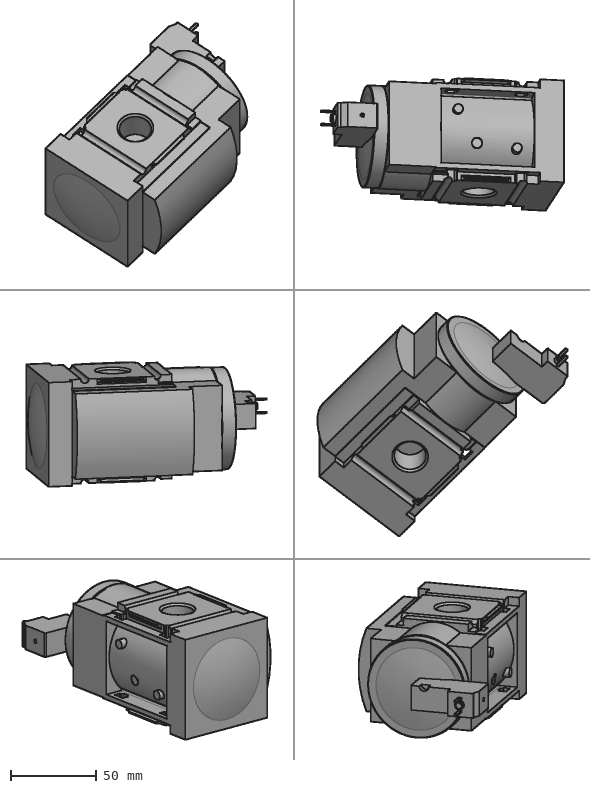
import cadquery as cq


BODY_HALF = 31.0
FRONT_Y = -45.1
FRONT_SLAB_BACK_Y = -31.1
PORT_BLOCK_BACK_Y = 31.0
MIDDLE_BACK_Y = 39.0
REAR_Y = 58.7
PORT_BLOCK_HALF_X = 24.3
LEDGE_Z = 25.8
REAR_HALF_Z = 25.3

HUMP_HALF_WIDTH = 15.0
HUMP_TOP_Z = 30.4

COVER_FLAT_X = 40.0
COVER_X = 45.0

DOME_RADIUS = 25.0
FRONT_DOME_HEIGHT = 4.0
REAR_DOME_HEIGHT = 2.8
CAP_DIAMETER = 60.0
CAP_BACK_Y = 67.5
CAP_CHAMFER = 0.5

PORT_DIAMETER = 18.6
PORT_MOUTH_DIAMETER = 21.1
PORT_DEPTH = 17.9

GROOVE_Y = 22.0
GROOVE_DIAMETER = 4.8
RELIEF_X = 20.0
RELIEF_FLOOR_Z = 26.7
SLOT_Y = 20.7
SLOT_HEAD_WIDTH = 7.0
SLOT_HEAD_OUTER_X = 27.5
SLOT_HEAD_INNER_X = 23.7
SLOT_NECK_WIDTH = 4.5
SLOT_NECK_INNER_X = 22.2
LUG_HALF_LENGTH = 14.7
LUG_REACH = 2.4
LUG_STEP = 0.5
LUG_TOP_Z = 30.7
LUG_LIP_Z = 30.0
LUG_STEP_Z = 28.7
LUG_BOTTOM_Z = 27.7

WINDOW_HALF_Y = 27.8
WINDOW_HALF_Z = 22.6
WINDOW_DEPTH = 10.7
INSERT_HALF_Z = 21.0
INSERT_GAP = 2.1
PIN_DIAMETER = 5.5
PIN_END_X = -30.1
PIN_POSITIONS = [(17.4, 11.0), (-17.5, -11.0)]
FLUSH_PIN_DIAMETER = 6.1
FLUSH_PIN_END_X = -27.4
FLUSH_PIN_Y = 6.0
FLUSH_PIN_Z = -8.6

PLUG_LEFT_X = -44.5
PLUG_RIGHT_X = -2.8
PLUG_STEP_X = -27.0
PLUG_BOTTOM_Y = 67.7
PLUG_STEP_Y = 86.2
PLUG_TOP_Y = 91.3
PLUG_THICKNESS = 14.9
PLUG_TOP_CUT_X = 2.0
PLUG_TOP_CUT_Y = 3.9
PLUG_TOP_CUT_END_Y = 89.5
PLUG_EDGE_CHAMFER = 0.7
TERMINAL_X = -34.5
STUD_DIAMETER = 5.0
STUD_HEIGHT = 1.8
STUD_TIP_DIAMETER = 3.9
STUD_TIP_HEIGHT = 0.9
BLADE_TIP_Y = 99.8
BLADE_WIDTH = 2.0
BLADE_THICKNESS = 0.7
BLADE_Z = 4.0
BLADE_TIP_CHAMFER = 0.5
PLUG_HOLE_DIAMETER = 2.1
PLUG_HOLE_Y = 77.0
PLUG_HOLE_DEPTH = 3.0
NOTCH_X = -10.7
NOTCH_DIAMETER = 5.5
NOTCH_DEPTH = 4.0


def block(x0, x1, y0, y1, z0, z1):
    """Box between two opposite corners."""
    return cq.Workplane("XY").box(x1 - x0, y1 - y0, z1 - z0, centered=False).translate((x0, y0, z0))


def y_cylinder(diameter, y0, y1, x=0, z=0):
    """Cylinder along +Y from y0 to y1."""
    return cq.Workplane(cq.Plane((x, y0, z), (1, 0, 0), (0, 1, 0))).circle(diameter / 2).extrude(y1 - y0)


def x_cylinder(diameter, x0, x1, y, z):
    """Cylinder along +X from x0 to x1."""
    return cq.Workplane(cq.Plane((x0, y, z), (0, 1, 0), (1, 0, 0))).circle(diameter / 2).extrude(x1 - x0)


def xz_prism(y0, y1):
    """Workplane with local axes X and Z, and the distance to extrude along +Y."""
    return cq.Workplane("XZ", origin=(0, y1, 0)), y1 - y0


def dome(base_y, height):
    """Spherical cap on the Y axis; a negative height bulges toward -Y."""
    sphere_radius = (DOME_RADIUS**2 + height**2) / (2 * abs(height))
    centre_y = base_y + height - (sphere_radius if height > 0 else -sphere_radius)
    ball = cq.Workplane("XY").sphere(sphere_radius).translate((0, centre_y, 0))
    low, high = sorted((base_y, base_y + height))
    return ball.intersect(y_cylinder(2 * DOME_RADIUS, low, high))


def mirrored_z(shape):
    """The shape together with its mirror image below the XY plane."""
    return shape.union(shape.mirror("XY"))


def make_hump():
    plane, length = xz_prism(PORT_BLOCK_BACK_Y, REAR_Y)
    return (
        plane.moveTo(-HUMP_HALF_WIDTH, 0)
        .lineTo(-HUMP_HALF_WIDTH, REAR_HALF_Z)
        .threePointArc((0, HUMP_TOP_Z), (HUMP_HALF_WIDTH, REAR_HALF_Z))
        .lineTo(HUMP_HALF_WIDTH, 0)
        .close()
        .extrude(length)
    )


def make_cover():
    plane, length = xz_prism(FRONT_SLAB_BACK_Y, MIDDLE_BACK_Y)
    return (
        plane.moveTo(0, -REAR_HALF_Z)
        .lineTo(COVER_FLAT_X, -REAR_HALF_Z)
        .threePointArc((COVER_X, 0), (COVER_FLAT_X, REAR_HALF_Z))
        .lineTo(0, REAR_HALF_Z)
        .close()
        .extrude(length)
    )


def make_housing():
    rear = block(-BODY_HALF, BODY_HALF, PORT_BLOCK_BACK_Y, REAR_Y, -REAR_HALF_Z, REAR_HALF_Z)
    ledges = block(-BODY_HALF, BODY_HALF, FRONT_Y, PORT_BLOCK_BACK_Y, -LEDGE_Z, LEDGE_Z)
    front = block(-BODY_HALF, BODY_HALF, FRONT_Y, FRONT_SLAB_BACK_Y, -BODY_HALF, BODY_HALF)
    port_block = block(
        -PORT_BLOCK_HALF_X, PORT_BLOCK_HALF_X, FRONT_Y, PORT_BLOCK_BACK_Y, -BODY_HALF, BODY_HALF
    )
    cap = y_cylinder(CAP_DIAMETER, REAR_Y, CAP_BACK_Y).faces("|Y").chamfer(CAP_CHAMFER)
    housing = ledges.union(front).union(port_block).union(rear).union(make_cover())
    housing = housing.union(mirrored_z(make_hump())).union(cap)
    return housing.union(dome(FRONT_Y, -FRONT_DOME_HEIGHT)).union(
        dome(CAP_BACK_Y, REAR_DOME_HEIGHT)
    )


def make_lug():
    """Undercut lug with angled ends on the +X, +Z edge of the port block."""
    root_x = PORT_BLOCK_HALF_X
    tip_x = root_x + LUG_REACH
    plane, length = xz_prism(-LUG_HALF_LENGTH, LUG_HALF_LENGTH)
    bar = (
        plane.moveTo(root_x, LUG_BOTTOM_Z)
        .lineTo(root_x + LUG_STEP, LUG_STEP_Z)
        .lineTo(tip_x, LUG_LIP_Z)
        .lineTo(tip_x, LUG_TOP_Z)
        .lineTo(root_x, LUG_TOP_Z)
        .close()
        .extrude(length)
    )
    outline = (
        cq.Workplane("XY")
        .polyline([
            (root_x, -LUG_HALF_LENGTH),
            (tip_x, -LUG_HALF_LENGTH + LUG_REACH),
            (tip_x, LUG_HALF_LENGTH - LUG_REACH),
            (root_x, LUG_HALF_LENGTH),
        ])
        .close()
        .extrude(LUG_TOP_Z)
    )
    return bar.intersect(outline)


def make_port():
    mouth_depth = (PORT_MOUTH_DIAMETER - PORT_DIAMETER) / 2
    return (
        cq.Workplane("XZ")
        .moveTo(0, BODY_HALF)
        .lineTo(PORT_MOUTH_DIAMETER / 2, BODY_HALF)
        .lineTo(PORT_DIAMETER / 2, BODY_HALF - mouth_depth)
        .lineTo(PORT_DIAMETER / 2, BODY_HALF - PORT_DEPTH)
        .lineTo(0, BODY_HALF - PORT_DEPTH)
        .close()
        .revolve(360, (0, 0, 0), (0, 1, 0))
    )


def make_port_face_cuts():
    cuts = make_port()
    for side in (-1, 1):
        groove = x_cylinder(
            GROOVE_DIAMETER, -PORT_BLOCK_HALF_X, PORT_BLOCK_HALF_X, side * GROOVE_Y, BODY_HALF
        )
        slot_y = side * SLOT_Y
        head = block(
            -SLOT_HEAD_OUTER_X, -SLOT_HEAD_INNER_X,
            slot_y - SLOT_HEAD_WIDTH / 2, slot_y + SLOT_HEAD_WIDTH / 2,
            INSERT_HALF_Z, BODY_HALF,
        )
        neck = block(
            -SLOT_HEAD_INNER_X, -SLOT_NECK_INNER_X,
            slot_y - SLOT_NECK_WIDTH / 2, slot_y + SLOT_NECK_WIDTH / 2,
            INSERT_HALF_Z, BODY_HALF,
        )
        cuts = cuts.union(groove).union(head).union(neck)
    relief = block(
        RELIEF_X, PORT_BLOCK_HALF_X, GROOVE_Y, PORT_BLOCK_BACK_Y, RELIEF_FLOOR_Z, BODY_HALF
    )
    return cuts.union(relief).union(relief.mirror("YZ"))


def make_window():
    """Window cut: a rectangular pocket minus the round insert and its pins."""
    floor_x = -BODY_HALF + WINDOW_DEPTH
    pocket = block(
        -BODY_HALF, floor_x, -WINDOW_HALF_Y, WINDOW_HALF_Y, -WINDOW_HALF_Z, WINDOW_HALF_Z
    )
    channel_width = WINDOW_HALF_Z - INSERT_HALF_Z
    channel_z = INSERT_HALF_Z + channel_width / 2
    channel = y_cylinder(channel_width, -WINDOW_HALF_Y, WINDOW_HALF_Y, floor_x, channel_z)
    pocket = pocket.union(mirrored_z(channel))

    plane, length = xz_prism(-WINDOW_HALF_Y, WINDOW_HALF_Y)
    insert = (
        plane.moveTo(floor_x, -INSERT_HALF_Z)
        .threePointArc((-BODY_HALF + INSERT_GAP, 0), (floor_x, INSERT_HALF_Z))
        .close()
        .extrude(length)
    )
    flush_recess = x_cylinder(
        FLUSH_PIN_DIAMETER, -BODY_HALF, FLUSH_PIN_END_X, FLUSH_PIN_Y, FLUSH_PIN_Z
    )
    flush_pin = x_cylinder(FLUSH_PIN_DIAMETER, FLUSH_PIN_END_X, floor_x, FLUSH_PIN_Y, FLUSH_PIN_Z)
    insert = insert.cut(flush_recess).union(flush_pin)
    for y, z in PIN_POSITIONS:
        insert = insert.union(x_cylinder(PIN_DIAMETER, PIN_END_X, floor_x, y, z))
    return pocket.cut(insert)


def make_plug():
    half = PLUG_THICKNESS / 2
    plug = (
        cq.Workplane("XY")
        .polyline([
            (PLUG_LEFT_X + PLUG_EDGE_CHAMFER, PLUG_BOTTOM_Y),
            (PLUG_RIGHT_X, PLUG_BOTTOM_Y),
            (PLUG_RIGHT_X, PLUG_STEP_Y),
            (PLUG_STEP_X, PLUG_STEP_Y),
            (PLUG_STEP_X, PLUG_TOP_Y),
            (PLUG_LEFT_X + PLUG_TOP_CUT_X, PLUG_TOP_Y),
            (PLUG_LEFT_X + PLUG_TOP_CUT_X, PLUG_TOP_CUT_END_Y),
            (PLUG_LEFT_X, PLUG_TOP_CUT_END_Y - PLUG_TOP_CUT_Y),
            (PLUG_LEFT_X, PLUG_BOTTOM_Y + PLUG_EDGE_CHAMFER),
        ])
        .close()
        .extrude(half, both=True)
    )
    hole = x_cylinder(PLUG_HOLE_DIAMETER, PLUG_LEFT_X, PLUG_LEFT_X + PLUG_HOLE_DEPTH, PLUG_HOLE_Y, 0)
    notch = y_cylinder(NOTCH_DIAMETER, PLUG_STEP_Y - NOTCH_DEPTH, PLUG_STEP_Y, NOTCH_X, half)
    plug = plug.cut(hole).cut(notch)

    stud_end_y = PLUG_TOP_Y + STUD_HEIGHT
    stud = y_cylinder(STUD_DIAMETER, PLUG_TOP_Y, stud_end_y, TERMINAL_X)
    tip = y_cylinder(STUD_TIP_DIAMETER, stud_end_y, stud_end_y + STUD_TIP_HEIGHT, TERMINAL_X)
    blade = block(
        TERMINAL_X - BLADE_WIDTH / 2, TERMINAL_X + BLADE_WIDTH / 2,
        PLUG_TOP_Y, BLADE_TIP_Y,
        BLADE_Z - BLADE_THICKNESS / 2, BLADE_Z + BLADE_THICKNESS / 2,
    )
    blade = blade.faces(">Y").edges("|Z").chamfer(BLADE_TIP_CHAMFER)
    return plug.union(stud).union(tip).union(mirrored_z(blade))


lug = make_lug()
lugs = mirrored_z(lug.union(lug.mirror("YZ")))

result = make_housing().union(lugs)
result = result.cut(mirrored_z(make_port_face_cuts()))
result = result.cut(make_window())
result = result.union(make_plug())